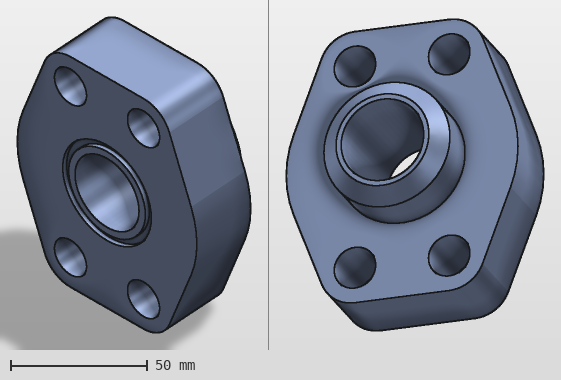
import cadquery as cq
import math

height = 107.0
width = 89.8
plate_thickness = 29.0
total_depth = 51.0

bolt_spacing_x = 36.5
bolt_spacing_z = 79.4
bolt_hole_diameter = 16.0

neck_diameter = 48.8
neck_tip_diameter = 36.0
neck_bevel_length = 5.0
bore_diameter = 32.0

groove_outer_diameter = 44.3
groove_inner_diameter = 38.3
groove_depth = 2.1

corner_x = bolt_spacing_x / 2
corner_z = bolt_spacing_z / 2
corner_radius = height / 2 - corner_z
side_radius = width / 2

corner_distance = math.hypot(corner_x, corner_z)
flank_angle = math.atan2(corner_z, corner_x) - math.acos((side_radius - corner_radius) / corner_distance)
corner_mid_angle = (flank_angle + math.pi / 2) / 2


def corner_point(angle, sign_x, sign_z):
    """Point on a corner arc, mirrored into the chosen quadrant."""
    x = corner_x + corner_radius * math.cos(angle)
    z = corner_z + corner_radius * math.sin(angle)
    return (sign_x * x, sign_z * z)


def cylinder(diameter, start_y, end_y):
    """Cylinder on the Y axis between two Y positions."""
    plane = cq.Workplane("XZ", origin=(0, start_y, 0))
    return plane.circle(diameter / 2).extrude(start_y - end_y)


def make_plate():
    side_x = side_radius * math.cos(flank_angle)
    side_z = side_radius * math.sin(flank_angle)
    outline = (
        cq.Workplane("XZ")
        .moveTo(side_x, -side_z)
        .threePointArc((side_radius, 0), (side_x, side_z))
        .lineTo(*corner_point(flank_angle, 1, 1))
        .threePointArc(corner_point(corner_mid_angle, 1, 1), (corner_x, height / 2))
        .lineTo(-corner_x, height / 2)
        .threePointArc(corner_point(corner_mid_angle, -1, 1), corner_point(flank_angle, -1, 1))
        .lineTo(-side_x, side_z)
        .threePointArc((-side_radius, 0), (-side_x, -side_z))
        .lineTo(*corner_point(flank_angle, -1, -1))
        .threePointArc(corner_point(corner_mid_angle, -1, -1), (-corner_x, -height / 2))
        .lineTo(corner_x, -height / 2)
        .threePointArc(corner_point(corner_mid_angle, 1, -1), corner_point(flank_angle, 1, -1))
        .close()
    )
    return outline.extrude(-plate_thickness)


def make_neck():
    """Solid neck with a conical weld bevel, turned about the Y axis."""
    return (
        cq.Workplane("XY")
        .lineTo(neck_diameter / 2, 0)
        .lineTo(neck_diameter / 2, total_depth - neck_bevel_length)
        .lineTo(neck_tip_diameter / 2, total_depth)
        .lineTo(0, total_depth)
        .close()
        .revolve(360, (0, 0, 0), (0, 1, 0))
    )


def make_bolt_holes():
    return (
        cq.Workplane("XZ")
        .rarray(bolt_spacing_x, bolt_spacing_z, 2, 2)
        .circle(bolt_hole_diameter / 2)
        .extrude(-plate_thickness)
    )


def make_seal_groove():
    outer = cylinder(groove_outer_diameter, 0, groove_depth)
    return outer.cut(cylinder(groove_inner_diameter, 0, groove_depth))


bore = cylinder(bore_diameter, 0, total_depth)
result = make_plate().union(make_neck()).cut(bore).cut(make_bolt_holes()).cut(make_seal_groove())